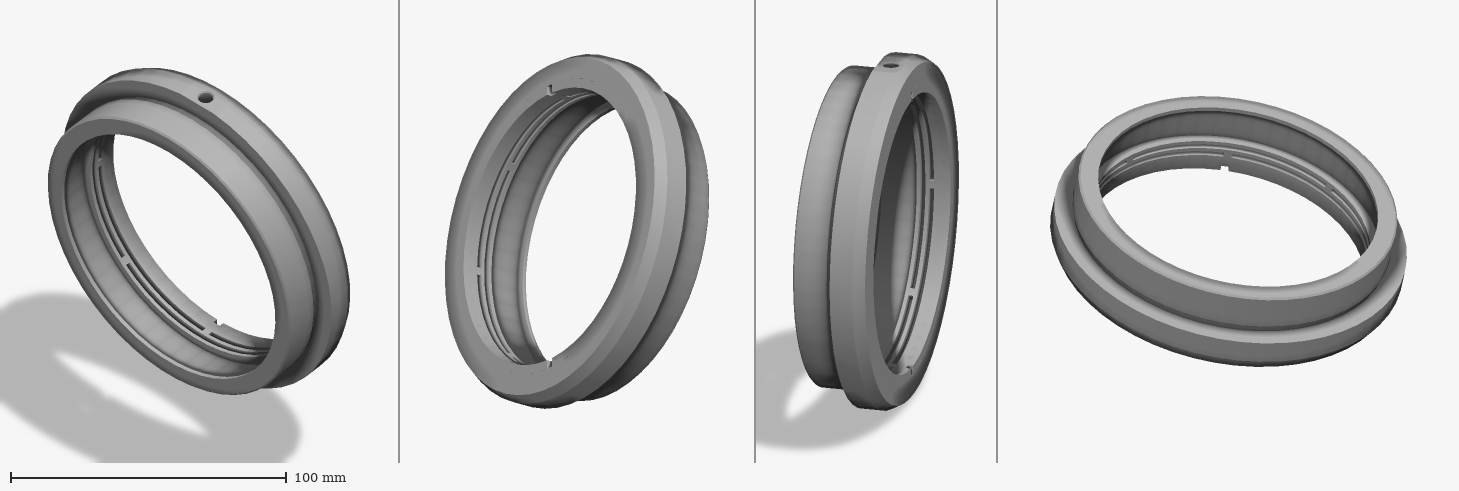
import cadquery as cq
import math

TOTAL_LENGTH = 28.4
FRONT_Y = -TOTAL_LENGTH / 2
REAR_Y = TOTAL_LENGTH / 2

FLANGE_RADIUS = 64.9
FLANGE_LENGTH = 12.7
REAR_BEVEL_LENGTH = 4.2
REAR_BEVEL_DEPTH = 2.2
NECK_RADIUS = 58.7
FRONT_CHAMFER = 0.6
RELIEF_DEPTH = 0.8
RELIEF_WIDTH = 2.9

OPENING_RADIUS = 51.5
BORE_RADIUS = 54.9
LIP_THICKNESS = 1.5

FLAT_WIDTH = 15.8
FLAT_HEIGHT = math.sqrt(FLANGE_RADIUS**2 - (FLAT_WIDTH / 2) ** 2)
HOLE_FROM_REAR = 7.9
HOLE_RADIUS = 2.7
COUNTERSINK_RADIUS = 3.2

SPRING_RING_THICKNESS = 1.4
SLOT_WIDTH = 1.8
SLOT_ROWS = 2
WEB_WIDTH = 3.0
WEBS_PER_ROW = 4
WEB_PITCH = 360 / WEBS_PER_ROW

NOTCH_WIDTH = 3.0
NOTCH_DEPTH = 2.0

FLANGE_FRONT_Y = REAR_Y - FLANGE_LENGTH
SPRING_FRONT_Y = FLANGE_FRONT_Y
SPRING_LENGTH = (SLOT_ROWS + 1) * SPRING_RING_THICKNESS + SLOT_ROWS * SLOT_WIDTH
SPRING_REAR_Y = SPRING_FRONT_Y + SPRING_LENGTH


def ring(outer_radius, inner_radius, start_y, length):
    """Plain ring about the Y axis, running toward +Y from start_y."""
    return (
        cq.Workplane("XZ", origin=(0, start_y, 0))
        .circle(outer_radius)
        .circle(inner_radius)
        .extrude(-length)
    )


def make_housing_blank():
    """Turned housing with flange, relief groove, front lip and bore."""
    relief_radius = NECK_RADIUS - RELIEF_DEPTH
    relief_front_y = FLANGE_FRONT_Y - RELIEF_WIDTH
    lip_rear_y = FRONT_Y + LIP_THICKNESS
    profile = [
        (OPENING_RADIUS, FRONT_Y),
        (NECK_RADIUS - FRONT_CHAMFER, FRONT_Y),
        (NECK_RADIUS, FRONT_Y + FRONT_CHAMFER),
        (NECK_RADIUS, relief_front_y),
        (relief_radius, relief_front_y),
        (relief_radius, FLANGE_FRONT_Y),
        (FLANGE_RADIUS, FLANGE_FRONT_Y),
        (FLANGE_RADIUS, REAR_Y - REAR_BEVEL_LENGTH),
        (FLANGE_RADIUS - REAR_BEVEL_DEPTH, REAR_Y),
        (BORE_RADIUS, REAR_Y),
        (BORE_RADIUS, lip_rear_y),
        (OPENING_RADIUS, lip_rear_y),
    ]
    return cq.Workplane("ZY").polyline(profile).close().revolve(360, (0, 0, 0), (0, 1, 0))


def cut_top_flat(housing):
    """Mill the flat across the top of the flange."""
    cutter = (
        cq.Workplane("XY", origin=(0, 0, FLAT_HEIGHT))
        .rect(2 * FLANGE_RADIUS, TOTAL_LENGTH)
        .extrude(FLANGE_RADIUS)
    )
    return housing.cut(cutter)


def cut_screw_hole(housing):
    """Drill the countersunk hole from the flat into the bore."""
    return (
        housing.copyWorkplane(cq.Workplane("XY", origin=(0, REAR_Y - HOLE_FROM_REAR, FLAT_HEIGHT)))
        .cskHole(2 * HOLE_RADIUS, 2 * COUNTERSINK_RADIUS, 90, FLAT_HEIGHT - OPENING_RADIUS)
    )


def make_spring():
    """Spring ring whose webs are staggered by half a pitch from row to row."""
    spring = ring(BORE_RADIUS, OPENING_RADIUS, SPRING_FRONT_Y, SPRING_LENGTH)
    for row in range(SLOT_ROWS):
        slot_y = SPRING_FRONT_Y + SPRING_RING_THICKNESS + row * (SPRING_RING_THICKNESS + SLOT_WIDTH)
        slot = ring(BORE_RADIUS, OPENING_RADIUS, slot_y, SLOT_WIDTH)
        first_web_angle = WEB_PITCH / 2 * (row + 1)
        for web in range(WEBS_PER_ROW):
            web_block = (
                cq.Workplane("XY")
                .box(WEB_WIDTH, SLOT_WIDTH, FLANGE_RADIUS, centered=(True, False, False))
                .translate((0, slot_y, 0))
                .rotate((0, 0, 0), (0, 1, 0), first_web_angle + web * WEB_PITCH)
            )
            slot = slot.cut(web_block)
        spring = spring.cut(slot)
    return spring


def make_retaining_ring():
    """Ring behind the spring, with two opposite notches at top and bottom."""
    retainer = ring(BORE_RADIUS, OPENING_RADIUS, SPRING_REAR_Y, REAR_Y - SPRING_REAR_Y)
    notches = (
        cq.Workplane("XY")
        .box(NOTCH_WIDTH, NOTCH_DEPTH, 2 * FLANGE_RADIUS, centered=(True, False, True))
        .translate((0, REAR_Y - NOTCH_DEPTH, 0))
    )
    return retainer.cut(notches)


housing = cut_screw_hole(cut_top_flat(make_housing_blank()))
spring = make_spring()
retaining_ring = make_retaining_ring()

result = cq.Compound.makeCompound([housing.val(), spring.val(), retaining_ring.val()])